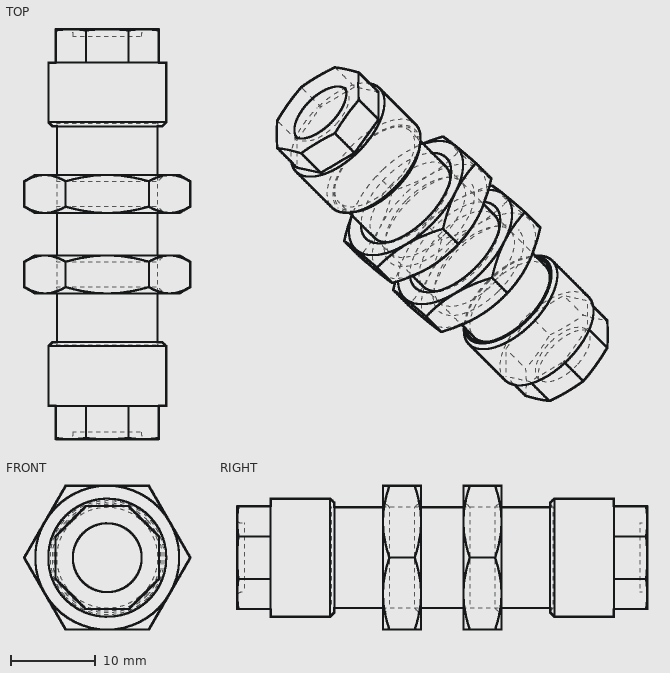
import cadquery as cq
import math

total_length = 48.4
end_octagon_length = 3.95
collar_length = 7.5

shaft_diameter = 11.9
collar_diameter = 13.95
collar_chamfer = 0.5
collar_countersink = 0.35
octagon_sides = 8
octagon_across_flats = 12.15
octagon_face_diameter = 11.9
octagon_bevel_angle = 15.0

recess_diameter = 8.15
recess_mouth_radius = 0.55
recess_depth = 0.85

nut_sides = 6
nut_across_flats = 17.0
nut_thickness = 4.5
nut_gap = 5.0
nut_bevel_angle = 30.0
nut_countersink = 0.77

half_length = total_length / 2
collar_outer_y = half_length - end_octagon_length
collar_inner_y = collar_outer_y - collar_length


def prism(sides, across_flats, length, turn):
    """Regular prism centred on the origin, its axis along Y."""
    across_corners = across_flats / math.cos(math.pi / sides)
    return (
        cq.Workplane("XZ")
        .transformed(rotate=(0, 0, turn))
        .polygon(sides, across_corners)
        .extrude(length)
        .translate((0, length / 2, 0))
    )


def bevelled_envelope(face_diameter, corner_diameter, length, angle):
    """Round blank along Y whose two ends are coned, used to bevel prism corners."""
    face_radius = face_diameter / 2
    corner_radius = corner_diameter / 2
    half = length / 2
    cone_y = half - (corner_radius - face_radius) * math.tan(math.radians(angle))
    return (
        cq.Workplane("XY")
        .polyline([
            (0, -half),
            (face_radius, -half),
            (corner_radius, -cone_y),
            (corner_radius, cone_y),
            (face_radius, half),
            (0, half),
        ])
        .close()
        .revolve(360, (0, 0, 0), (0, 1, 0))
    )


def cylinder(diameter, length):
    """Cylinder centred on the origin, its axis along Y."""
    return (
        cq.Workplane("XZ")
        .circle(diameter / 2)
        .extrude(length)
        .translate((0, length / 2, 0))
    )


def countersink(mouth_y, size):
    """45 degree cone-shaped cutter around the shaft, widest at mouth_y and narrowing toward +Y."""
    return cq.Workplane("XY").add(
        cq.Solid.makeCone(
            shaft_diameter / 2 + size,
            shaft_diameter / 2,
            size,
            pnt=cq.Vector(0, mouth_y, 0),
            dir=cq.Vector(0, 1, 0),
        )
    )


def collar():
    """Collar at the +Y end, its inner face chamfered outside and countersunk around the shaft."""
    return (
        cylinder(collar_diameter, collar_length)
        .faces("<Y").chamfer(collar_chamfer)
        .translate((0, (collar_inner_y + collar_outer_y) / 2, 0))
        .cut(countersink(collar_inner_y, collar_countersink))
    )


def end_recess():
    """Cutter for the blind recess at the +Y end, flared by its rounded mouth."""
    radius = recess_diameter / 2
    mouth_radius = radius + recess_mouth_radius
    floor_y = half_length - recess_depth
    arc_start_y = half_length - recess_mouth_radius
    arc_offset = recess_mouth_radius * math.sqrt(0.5)
    return (
        cq.Workplane("XY")
        .moveTo(0, floor_y)
        .lineTo(radius, floor_y)
        .lineTo(radius, arc_start_y)
        .threePointArc(
            (mouth_radius - arc_offset, arc_start_y + arc_offset),
            (mouth_radius, half_length),
        )
        .lineTo(0, half_length)
        .close()
        .revolve(360, (0, 0, 0), (0, 1, 0))
    )


def octagon_end():
    """Octagonal wrench end at +Y with bevelled corners on its outer face."""
    corner_diameter = octagon_across_flats / math.cos(math.pi / octagon_sides)
    blank = bevelled_envelope(octagon_face_diameter, corner_diameter, total_length, octagon_bevel_angle)
    inner_part = cylinder(collar_diameter, 2 * collar_outer_y)
    octagon_bar = prism(octagon_sides, octagon_across_flats, total_length, 180 / octagon_sides)
    return octagon_bar.intersect(blank).cut(inner_part)


def make_fitting():
    """Shaft with a collar, an octagonal end and a recess at both ends."""
    shaft = cylinder(shaft_diameter, 2 * collar_outer_y)
    body = shaft.union(collar()).union(collar().mirror("XZ"))
    body = body.union(octagon_end())
    body = body.union(octagon_end().mirror("XZ"))
    return body.cut(end_recess()).cut(end_recess().mirror("XZ"))


def make_nut(centre_y):
    """Hexagonal nut with bevelled corners and a bore that fits the shaft, countersunk at both faces."""
    corner_diameter = nut_across_flats / math.cos(math.pi / nut_sides)
    blank = bevelled_envelope(nut_across_flats, corner_diameter, nut_thickness, nut_bevel_angle)
    mouth = countersink(-nut_thickness / 2, nut_countersink)
    return (
        prism(nut_sides, nut_across_flats, nut_thickness, 0)
        .intersect(blank)
        .cut(cylinder(shaft_diameter, nut_thickness))
        .cut(mouth)
        .cut(mouth.mirror("XZ"))
        .translate((0, centre_y, 0))
    )


fitting = make_fitting()

nut_offset = (nut_gap + nut_thickness) / 2
nuts = [make_nut(side * nut_offset) for side in (-1, 1)]

result = cq.Compound.makeCompound([fitting.val(), *[nut.val() for nut in nuts]])